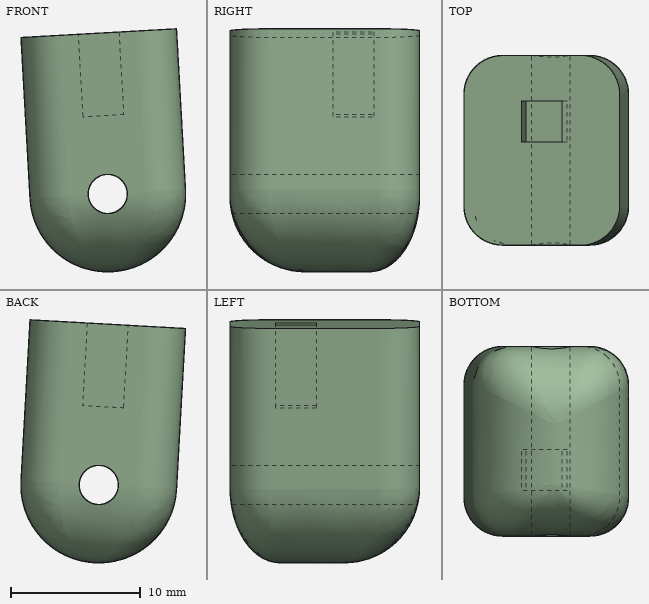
import cadquery as cq
import math

width = 12.0
depth = 14.6
height_above_pin = 12.4
corner_radius = 3.0
back_round_width = 4.0
tilt = 3.2
pin_diameter = 3.0
socket_side = 3.15
socket_depth = 6.36
socket_y = 2.2

round_end_radius = width / 2
half_depth = depth / 2
front_round_width = round_end_radius
round_end_steps = 12
last_level_angle = 88.5


def level_outline(angle):
    """Rounded rectangle at an angle below the pin axis; it narrows with the cosine."""
    narrowing = math.cos(math.radians(angle))
    level_z = -round_end_radius * math.sin(math.radians(angle))
    front_y = -half_depth + front_round_width * (1 - narrowing)
    back_y = half_depth - back_round_width * (1 - narrowing)
    return (
        cq.Sketch()
        .rect(width * narrowing, back_y - front_y)
        .vertices()
        .fillet(corner_radius * narrowing)
        .moved(cq.Location(cq.Vector(0, (front_y + back_y) / 2, level_z)))
    )


def straight_body():
    return cq.Workplane("XY").placeSketch(level_outline(0)).extrude(height_above_pin)


def round_end():
    angles = [last_level_angle * step / round_end_steps for step in range(round_end_steps + 1)]
    return cq.Workplane("XY").placeSketch(*[level_outline(angle) for angle in angles]).loft()


def socket():
    """Square blind pocket in the top face."""
    return (
        cq.Workplane("XY")
        .box(socket_side, socket_side, socket_depth, centered=(True, True, False))
        .translate((0, socket_y, height_above_pin - socket_depth))
    )


def pin_hole():
    return cq.Workplane("XZ").circle(pin_diameter / 2).extrude(half_depth, both=True)


upright = straight_body().union(round_end()).cut(socket()).cut(pin_hole())
result = upright.rotate((0, 0, 0), (0, 1, 0), -tilt)